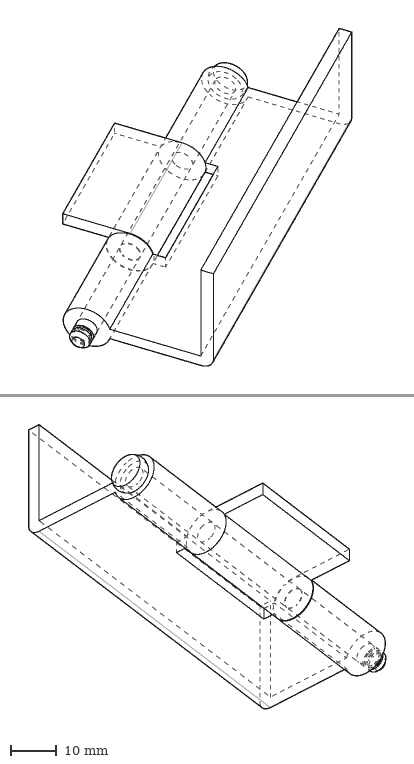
import cadquery as cq

overall_length = 88
overall_height = 34.1
barrel_length = 80.0
barrel_radius = 5.6
pin_radius = 2.5

angle_thickness = 3.0
angle_reach = 30.0
angle_rise = overall_height - barrel_radius
bend_radius = angle_thickness
window_length = 30.2
window_start = (barrel_length - window_length) / 2
window_reach = 8.45

flat_thickness = 3.3
flat_reach = 16.0
flat_length = 30.0
flat_end = window_start + window_length
flat_start = flat_end - flat_length

head_length = 3.0
tail_length = overall_length - barrel_length - head_length
head_radius = 4.5
head_rim_radius = 4.05
groove_offset = 2.1
groove_width = 0.9
groove_radius = 2.0
tail_chamfer = 1.0


def cylinder(radius, start, end):
    """Cylinder on the hinge axis between two Y positions."""
    return cq.Workplane("XZ", origin=(0, start, 0)).circle(radius).extrude(start - end)


def block(x_start, x_end, y_start, y_end, z_start, z_end):
    """Axis-aligned block between opposite corners."""
    size = (x_end - x_start, y_end - y_start, z_end - z_start)
    return cq.Workplane("XY").box(*size, centered=False).translate((x_start, y_start, z_start))


def make_angle_leaf():
    half_thickness = angle_thickness / 2
    base = block(0, angle_reach, 0, barrel_length, -half_thickness, half_thickness)
    upright = block(
        angle_reach - angle_thickness, angle_reach, 0, barrel_length, -half_thickness, angle_rise
    )
    plate = base.union(upright).clean()
    plate = plate.edges("|Y and >X and <Z").fillet(bend_radius)
    window = block(
        -barrel_radius, window_reach, window_start, flat_end, -barrel_radius, barrel_radius
    )
    leaf = plate.union(cylinder(barrel_radius, 0, barrel_length))
    return leaf.cut(window).cut(cylinder(pin_radius, 0, barrel_length))


def make_flat_leaf():
    plate = block(
        -flat_reach, 0, flat_start, flat_end, barrel_radius - flat_thickness, barrel_radius
    )
    leaf = plate.union(cylinder(barrel_radius, flat_start, flat_end))
    return leaf.cut(cylinder(pin_radius, flat_start, flat_end))


def make_pin():
    groove_start = -groove_offset
    groove_end = groove_start - groove_width
    head_end = barrel_length + head_length
    return (
        cq.Workplane("XY")
        .moveTo(0, -tail_length)
        .lineTo(pin_radius - tail_chamfer, -tail_length)
        .lineTo(pin_radius, -tail_length + tail_chamfer)
        .lineTo(pin_radius, groove_end)
        .lineTo(groove_radius, groove_end)
        .lineTo(groove_radius, groove_start)
        .lineTo(pin_radius, groove_start)
        .lineTo(pin_radius, barrel_length)
        .lineTo(head_rim_radius, barrel_length)
        .threePointArc((head_radius, barrel_length + head_length / 2), (head_rim_radius, head_end))
        .lineTo(0, head_end)
        .close()
        .revolve(360, (0, 0, 0), (0, 1, 0))
    )


angle_leaf = make_angle_leaf()
flat_leaf = make_flat_leaf()
pin = make_pin()

result = cq.Compound.makeCompound([angle_leaf.val(), flat_leaf.val(), pin.val()])